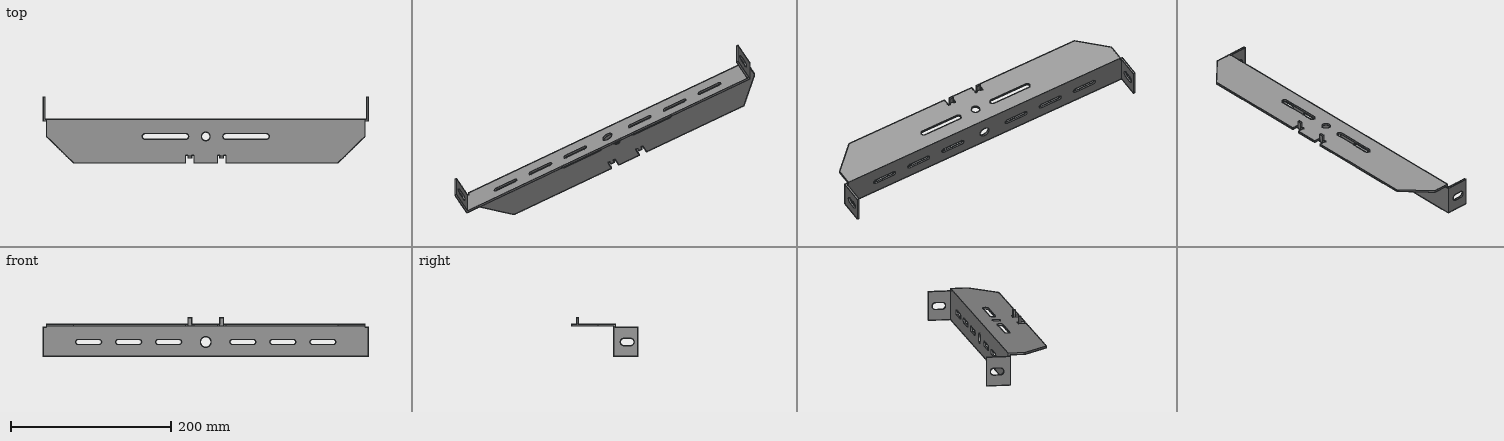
import cadquery as cq

LENGTH = 406.0
DEPTH = 83.0
HEIGHT = 48.5
SHEET = 2.5

PLATE_TOP = 40.0
PLATE_END_INSET = 4.0
CORNER_CUT_X = 34.0
CORNER_CUT_Y = 33.3
PLATE_HOLE_FROM_FRONT = 33.3
PLATE_HOLE_DIAMETER = 10.5
PLATE_SLOT_LENGTH = 57.5
PLATE_SLOT_WIDTH = 7.0
PLATE_SLOT_OFFSET = 50.5

WALL_HEIGHT = 36.5
WALL_HOLE_HEIGHT = 18.0
WALL_HOLE_DIAMETER = 13.0
WALL_SLOT_LENGTH = 32.0
WALL_SLOT_WIDTH = 6.0
WALL_SLOT_FIRST_OFFSET = 46.3
WALL_SLOT_PITCH = 50.0
WALL_SLOTS_PER_SIDE = 3

FLANGE_DEPTH = 30.5
FLANGE_SLOT_LENGTH = 17.0
FLANGE_SLOT_WIDTH = 9.0
FLANGE_SLOT_FROM_REAR = 13.5

TAB_OFFSET = 20.0
TAB_WIDTH = 5.0
NOTCH_WIDTH = 10.0
NOTCH_DEPTH = 9.7
TAB_FROM_FRONT = 6.0

plate_bottom = PLATE_TOP - SHEET
wall_front = DEPTH - FLANGE_DEPTH
wall_rear = wall_front + SHEET
plate_half = LENGTH / 2 - PLATE_END_INSET
SIDES = (-1, 1)


def box(x_center, x_size, y_min, y_max, z_min, z_max):
    """Box centred on x_center and spanning the given Y and Z ranges."""
    block = cq.Workplane("XY").box(x_size, y_max - y_min, z_max - z_min, centered=(True, False, False))
    return block.translate((x_center, y_min, z_min))


def make_plate():
    """Horizontal plate with both front corners cut off, pierced by a hole and two slots."""
    outline = [
        (-plate_half, wall_rear),
        (-plate_half, CORNER_CUT_Y),
        (-plate_half + CORNER_CUT_X, 0),
        (plate_half - CORNER_CUT_X, 0),
        (plate_half, CORNER_CUT_Y),
        (plate_half, wall_rear),
    ]
    plate = cq.Workplane("XY").workplane(offset=plate_bottom).polyline(outline).close().extrude(SHEET)
    slot_centers = [(side * PLATE_SLOT_OFFSET, PLATE_HOLE_FROM_FRONT) for side in SIDES]
    slots = (
        cq.Workplane("XY", origin=(0, 0, plate_bottom))
        .pushPoints(slot_centers)
        .slot2D(PLATE_SLOT_LENGTH, PLATE_SLOT_WIDTH)
        .extrude(SHEET)
    )
    hole = (
        cq.Workplane("XY", origin=(0, PLATE_HOLE_FROM_FRONT, plate_bottom))
        .circle(PLATE_HOLE_DIAMETER / 2)
        .extrude(SHEET)
    )
    return plate.cut(slots).cut(hole)


def make_wall():
    """Upright wall with a central hole and a row of slots on each side, joined to the plate."""
    wall = box(0, LENGTH, wall_front, wall_rear, 0, WALL_HEIGHT)
    bend = box(0, 2 * plate_half, wall_front, wall_rear, WALL_HEIGHT, PLATE_TOP)
    slot_centers = [
        (side * (WALL_SLOT_FIRST_OFFSET + index * WALL_SLOT_PITCH), WALL_HOLE_HEIGHT)
        for side in SIDES
        for index in range(WALL_SLOTS_PER_SIDE)
    ]
    slots = (
        cq.Workplane("XZ", origin=(0, wall_rear, 0))
        .pushPoints(slot_centers)
        .slot2D(WALL_SLOT_LENGTH, WALL_SLOT_WIDTH)
        .extrude(SHEET)
    )
    hole = (
        cq.Workplane("XZ", origin=(0, wall_rear, WALL_HOLE_HEIGHT))
        .circle(WALL_HOLE_DIAMETER / 2)
        .extrude(SHEET)
    )
    return wall.union(bend).cut(slots).cut(hole)


def make_flange(side):
    """End flange bent rearward from the wall, with one slot along Y."""
    flange_x = side * (LENGTH - SHEET) / 2
    flange = box(flange_x, SHEET, wall_front, DEPTH, 0, WALL_HEIGHT)
    slot = (
        cq.Workplane("YZ", origin=(flange_x, DEPTH - FLANGE_SLOT_FROM_REAR, WALL_HOLE_HEIGHT))
        .slot2D(FLANGE_SLOT_LENGTH, FLANGE_SLOT_WIDTH)
        .extrude(SHEET, both=True)
    )
    return flange.cut(slot)


def make_notch(side):
    """Rectangular notch open at the front edge of the plate."""
    return box(side * TAB_OFFSET, NOTCH_WIDTH, 0, NOTCH_DEPTH, plate_bottom, PLATE_TOP)


def make_tab(side):
    """Upright tab with the short root that ties it to the back of its notch."""
    tab_x = side * TAB_OFFSET
    root = box(tab_x, TAB_WIDTH, TAB_FROM_FRONT, NOTCH_DEPTH, plate_bottom, PLATE_TOP)
    upright = box(tab_x, TAB_WIDTH, TAB_FROM_FRONT, TAB_FROM_FRONT + SHEET, plate_bottom, HEIGHT)
    return root.union(upright)


result = make_plate().union(make_wall())
for side in SIDES:
    result = result.union(make_flange(side)).cut(make_notch(side)).union(make_tab(side))